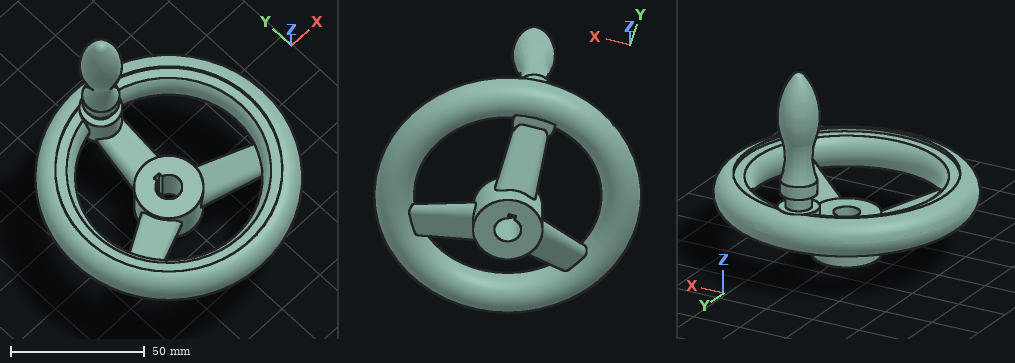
import cadquery as cq
import math

rim_outer_radius = 50.0
rim_section_radius = 7.5
rim_path_radius = rim_outer_radius - rim_section_radius
rim_bottom = 18.0
rim_center_z = rim_bottom + rim_section_radius
rim_top = rim_bottom + 2 * rim_section_radius
step_inner_radius = 38.3
step_z = rim_center_z + math.sqrt(rim_section_radius**2 - (rim_path_radius - step_inner_radius) ** 2)

hub_radius = 13.0
hub_height = 17.2
bore_radius = 5.0
key_width = 2.7
key_reach = 6.5

spoke_count = 3
spoke_flat_width = 8.2
spoke_start = 9.0
spoke_end = 39.0
spoke_start_edge_radius = 3.9
spoke_end_edge_radius = 2.3
spoke_slope = 0.47

handle_y = 36.0
boss_radius = 8.0
boss_bottom = 19.0
pin_radius = 5.0
collar_bottom = 38.5
collar_top = 43.7
collar_radius = 7.0
neck_z = 52.4
neck_radius = 5.1
grip_bottom = 59.6
grip_bottom_radius = 6.1
grip_widest_z = 69.8
grip_radius = 8.0
tip_base_z = 86.3
tip_base_radius = 2.4
handle_top = 87.5


def make_rim():
    ring = cq.Workplane("XY").add(
        cq.Solid.makeTorus(rim_path_radius, rim_section_radius, cq.Vector(0, 0, rim_center_z))
    )
    step = cq.Workplane("XY", origin=(0, 0, step_z)).circle(rim_path_radius).extrude(rim_top - step_z)
    return ring.cut(step)


def make_spoke():
    """One spoke rising along +Y from the hub to the rim."""

    def section(distance, edge_radius):
        center_z = rim_center_z - spoke_slope * (rim_path_radius - distance)
        plane = cq.Plane(origin=(0, distance, center_z), xDir=(1, 0, 0), normal=(0, 1, spoke_slope))
        outline = cq.Workplane(plane).slot2D(spoke_flat_width + 2 * edge_radius, 2 * edge_radius)
        return outline.wire().val()

    start = section(spoke_start, spoke_start_edge_radius)
    end = section(spoke_end, spoke_end_edge_radius)
    return cq.Workplane("XY").add(cq.Solid.makeLoft([start, end], True))


def make_bore():
    bore = cq.Workplane("XY").circle(bore_radius).extrude(rim_top)
    keyway = cq.Workplane("XY").rect(key_width, key_reach, centered=(True, False)).extrude(rim_top)
    return bore.union(keyway)


def make_handle():
    """Turned handle; the profile is radius against height, revolved about its own axis."""
    profile = (
        cq.Workplane("XZ", origin=(0, handle_y, 0))
        .moveTo(0, rim_center_z)
        .lineTo(pin_radius, rim_center_z)
        .lineTo(pin_radius, collar_bottom)
        .lineTo(collar_radius, collar_bottom)
        .lineTo(collar_radius, collar_top)
        .threePointArc((neck_radius, neck_z), (grip_bottom_radius, grip_bottom))
        .threePointArc((grip_radius, grip_widest_z), (tip_base_radius, tip_base_z))
    )
    tip_rise = handle_top - tip_base_z
    tip_sphere_radius = (tip_base_radius**2 + tip_rise**2) / (2 * tip_rise)
    half_angle = math.asin(tip_base_radius / tip_sphere_radius) / 2
    tip_middle = (
        tip_sphere_radius * math.sin(half_angle),
        handle_top - tip_sphere_radius * (1 - math.cos(half_angle)),
    )
    return profile.threePointArc(tip_middle, (0, handle_top)).close().revolve(360, (0, 0), (0, 1))


wheel = make_rim().union(cq.Workplane("XY").circle(hub_radius).extrude(hub_height))
spoke = make_spoke()
for index in range(spoke_count):
    wheel = wheel.union(spoke.rotate((0, 0, 0), (0, 0, 1), index * 360 / spoke_count))

boss = cq.Workplane("XY", origin=(0, handle_y, boss_bottom)).circle(boss_radius).extrude(rim_top - boss_bottom)

result = wheel.union(boss).cut(make_bore()).union(make_handle())